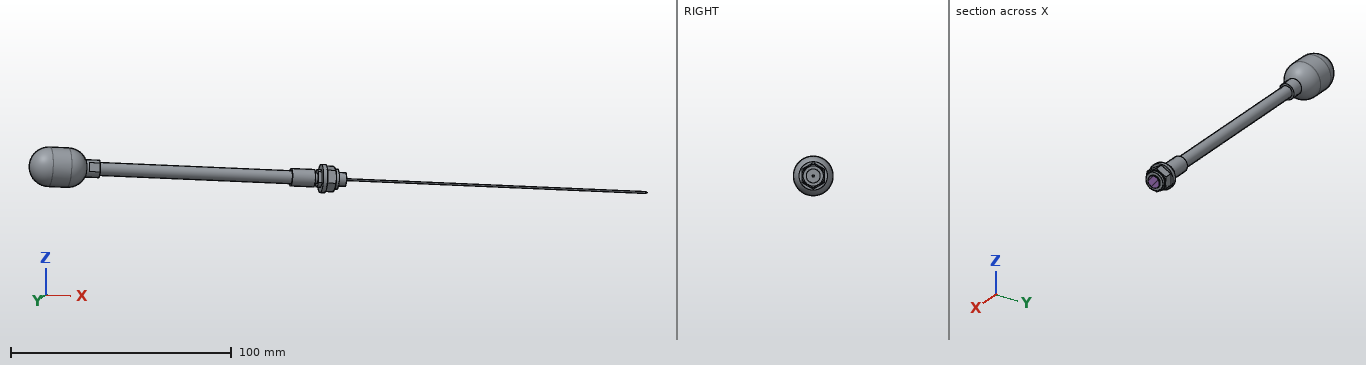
import cadquery as cq
import math

total_length = 287.0

handle_radius = 9.05
handle_barrel_length = 8.5
neck_radius = 4.0
neck_end = 32.0
neck_flat_start = 27.0
neck_flat_offset = 3.5

shaft_radius = 3.0
collar_radius = 4.0
collar_start = 121.4
collar_end = 132.0

spigot_radius = 2.45
hub_radius = 4.0
hub_flat_offset = 3.2
hub_start = 133.5
disc_radius = 6.45
disc_start = 135.0
disc_end = 137.0
hex_across_flats = 10.3
hex_end = 141.5
hex_chamfer_angle = 30.0
boss_radius = 4.5
boss_end = 143.0
nose_radius = 3.2
nose_end = 146.5

needle_radius = 0.5
needle_tip_length = 1.0


def turned_body():
    """Everything round, as one half outline revolved about the X axis."""
    barrel_start = handle_radius
    barrel_end = barrel_start + handle_barrel_length
    neck_start = barrel_end + math.sqrt(handle_radius**2 - neck_radius**2)

    outline = (
        cq.Workplane("XZ")
        .moveTo(0, 0)
        .radiusArc((barrel_start, handle_radius), handle_radius)
        .lineTo(barrel_end, handle_radius)
        .radiusArc((neck_start, neck_radius), handle_radius)
        .lineTo(neck_end, neck_radius)
    )
    steps = [
        (shaft_radius, collar_start),
        (collar_radius, collar_end),
        (spigot_radius, hub_start),
        (hub_radius, disc_start),
        (disc_radius, disc_end),
        (boss_radius, boss_end),
        (nose_radius, nose_end),
        (needle_radius, total_length - needle_tip_length),
    ]
    step_start = neck_end
    for radius, step_end in steps:
        outline = outline.lineTo(step_start, radius).lineTo(step_end, radius)
        step_start = step_end
    outline = outline.lineTo(total_length, 0).close()
    return outline.revolve(360, (0, 0, 0), (1, 0, 0))


def hex_nut():
    """Hexagon with corners on the Z axis, its corners chamfered on the needle side."""
    flat_radius = hex_across_flats / 2
    corner_radius = flat_radius / math.cos(math.pi / 6)
    length = hex_end - disc_end
    base = cq.Workplane("YZ", origin=(disc_end, 0, 0))
    nut = base.polygon(6, 2 * corner_radius).extrude(length)
    nut = nut.rotate((0, 0, 0), (1, 0, 0), 90)

    chamfer_width = corner_radius - flat_radius
    chamfer_depth = chamfer_width * math.tan(math.radians(hex_chamfer_angle))
    envelope = base.circle(corner_radius).extrude(length)
    envelope = envelope.faces(">X").chamfer(chamfer_depth, chamfer_width)
    return nut.intersect(envelope)


def flat_cutter(start, end, offset, radius, side):
    """Block that leaves a flat at the given Y offset; side is +1 or -1."""
    block = cq.Workplane("XY").box(end - start, radius, 2 * radius)
    return block.translate(((start + end) / 2, side * (offset + radius / 2), 0))


result = turned_body().union(hex_nut())
result = result.cut(flat_cutter(neck_flat_start, neck_end, neck_flat_offset, neck_radius, -1))
for side in (1, -1):
    result = result.cut(flat_cutter(hub_start, disc_start, hub_flat_offset, hub_radius, side))